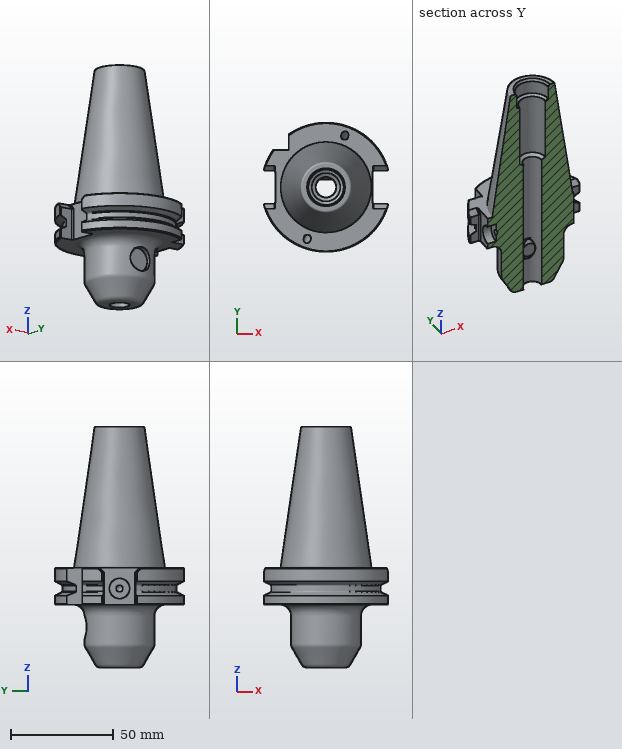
import cadquery as cq
import math

TOTAL_HEIGHT = 118.2
GAUGE_HEIGHT = 50.0
FLANGE_TOP = 49.0
FLANGE_BOTTOM = 30.9
GROOVE_HEIGHT = 38.9

TAPER_RATIO = 7 / 24
GAUGE_RADIUS = 22.2
TOP_RADIUS = GAUGE_RADIUS - (TOTAL_HEIGHT - GAUGE_HEIGHT) * TAPER_RATIO / 2
TOP_ROUND = 1.0
SHANK_FOOT_ROUND = 0.6

FLANGE_RADIUS = 31.7
FLANGE_TOP_BEVEL = 0.4
FLANGE_BOTTOM_BEVEL = 0.6
GROOVE_ROOT_RADIUS = 28.0
GROOVE_MOUTH_HALF = 3.5
GROOVE_FLANK_ANGLE = math.radians(27)
GROOVE_ROOT_ROUND = 0.6

NOSE_RADIUS = 17.3
NECK_ROUND = 5.1
NOSE_TIP_RADIUS = 11.0
NOSE_CONE_ANGLE = math.radians(30)
NOSE_CONE_HEIGHT = (NOSE_RADIUS - NOSE_TIP_RADIUS) / math.tan(NOSE_CONE_ANGLE)
NOSE_ROUND = 3.3

COUNTERSINK_RADIUS = 9.3
COUNTERSINK_DEPTH = 1.4
PILOT_RADIUS = 8.6
PILOT_DEPTH = 8.4
PILOT_CONE = 0.8
THREAD_RADIUS = 7.0
THREAD_DEPTH = 42.6
TOOL_BORE_RADIUS = 5.0
TOOL_BORE_CONE = 1.2

SLOT_HALF_WIDTH = 8.0
SLOT_FLOOR_LEFT = 24.8
SLOT_FLOOR_RIGHT = 22.8
SLOT_TOP_FLARE = 2.6
SLOT_FLOOR_BEVEL = 0.6
SLOT_MOUTH_BEVEL = 0.7

NOTCH_X = 18.3
NOTCH_Y = 18.3

CHIP_RADIUS = 5.0
CHIP_DEPTH = 4.6
DIMPLE_RADIUS = 1.7
DIMPLE_DEPTH = 1.0

COOLANT_RADIUS = 1.8
COOLANT_CIRCLE = 27.0
COOLANT_ANGLE = 70
COOLANT_TILT = 33
COOLANT_DEPTH = 17.7

SCREW_HEIGHT = 20.0
SCREW_RADIUS = 6.0
SCREW_TIP_RADIUS = 3.7
SCREW_TIP_Y = 3.8
SCREW_TIP_CONE = 1.4
SCREW_END_Y = 14.2

CUT_MARGIN = 5.9


def arc_point(center_r, center_z, radius, angle):
    return (center_r + radius * math.cos(angle), center_z + radius * math.sin(angle))


def revolve_about_z(profile):
    return profile.close().revolve(360, (0, 0, 0), (0, 1, 0))


def nose_profile_points():
    """Ends and middles of the rounds at the foot and the shoulder of the nose cone."""
    tip_tangent = NOSE_ROUND * math.tan((math.pi / 2 - NOSE_CONE_ANGLE) / 2)
    tip_center = (NOSE_TIP_RADIUS - tip_tangent, NOSE_ROUND)
    shoulder_tangent = NOSE_ROUND * math.tan(NOSE_CONE_ANGLE / 2)
    shoulder_center = (NOSE_RADIUS - NOSE_ROUND, NOSE_CONE_HEIGHT + shoulder_tangent)
    tip = [arc_point(*tip_center, NOSE_ROUND, a)
           for a in (-math.pi / 2, -(math.pi / 2 + NOSE_CONE_ANGLE) / 2, -NOSE_CONE_ANGLE)]
    shoulder = [arc_point(*shoulder_center, NOSE_ROUND, a)
                for a in (-NOSE_CONE_ANGLE, -NOSE_CONE_ANGLE / 2, 0)]
    return tip, shoulder


def groove_root_points():
    """Ends and middles of the lower and upper root rounds of the gripper groove, going upwards."""
    corner_half = GROOVE_MOUTH_HALF - (FLANGE_RADIUS - GROOVE_ROOT_RADIUS) * math.tan(GROOVE_FLANK_ANGLE)
    turn = math.pi / 2 - GROOVE_FLANK_ANGLE
    center_half = corner_half - GROOVE_ROOT_ROUND * math.tan(turn / 2)
    center_r = GROOVE_ROOT_RADIUS + GROOVE_ROOT_ROUND
    lower = [arc_point(center_r, GROOVE_HEIGHT - center_half, GROOVE_ROOT_ROUND, math.pi + a)
             for a in (turn, turn / 2, 0)]
    upper = [arc_point(center_r, GROOVE_HEIGHT + center_half, GROOVE_ROOT_ROUND, math.pi - a)
             for a in (0, turn / 2, turn)]
    return lower, upper


def turned_blank():
    """Nose, flange and shank as one turned shape."""
    tip, shoulder = nose_profile_points()
    lower_root, upper_root = groove_root_points()
    neck_middle = arc_point(NOSE_RADIUS + NECK_ROUND, FLANGE_BOTTOM - NECK_ROUND,
                            NECK_ROUND, math.radians(135))
    foot_center = (GAUGE_RADIUS + SHANK_FOOT_ROUND, FLANGE_TOP + SHANK_FOOT_ROUND)
    foot_middle = arc_point(*foot_center, SHANK_FOOT_ROUND, math.radians(225))
    profile = (
        cq.Workplane("XZ")
        .lineTo(*tip[0])
        .threePointArc(tip[1], tip[2])
        .lineTo(*shoulder[0])
        .threePointArc(shoulder[1], shoulder[2])
        .lineTo(NOSE_RADIUS, FLANGE_BOTTOM - NECK_ROUND)
        .threePointArc(neck_middle, (NOSE_RADIUS + NECK_ROUND, FLANGE_BOTTOM))
        .lineTo(FLANGE_RADIUS - FLANGE_BOTTOM_BEVEL, FLANGE_BOTTOM)
        .lineTo(FLANGE_RADIUS, FLANGE_BOTTOM + FLANGE_BOTTOM_BEVEL)
        .lineTo(FLANGE_RADIUS, GROOVE_HEIGHT - GROOVE_MOUTH_HALF)
        .lineTo(*lower_root[0])
        .threePointArc(lower_root[1], lower_root[2])
        .lineTo(*upper_root[0])
        .threePointArc(upper_root[1], upper_root[2])
        .lineTo(FLANGE_RADIUS, GROOVE_HEIGHT + GROOVE_MOUTH_HALF)
        .lineTo(FLANGE_RADIUS, FLANGE_TOP - FLANGE_TOP_BEVEL)
        .lineTo(FLANGE_RADIUS - FLANGE_TOP_BEVEL, FLANGE_TOP)
        .lineTo(foot_center[0], FLANGE_TOP)
        .threePointArc(foot_middle, (GAUGE_RADIUS, foot_center[1]))
        .lineTo(GAUGE_RADIUS, GAUGE_HEIGHT)
        .lineTo(TOP_RADIUS, TOTAL_HEIGHT)
        .lineTo(0, TOTAL_HEIGHT)
    )
    return revolve_about_z(profile).faces(">Z").edges().fillet(TOP_ROUND)


def axial_bore():
    """Stepped bore through the whole length."""
    pilot_floor = TOTAL_HEIGHT - PILOT_DEPTH
    thread_floor = TOTAL_HEIGHT - THREAD_DEPTH
    profile = (
        cq.Workplane("XZ")
        .lineTo(TOOL_BORE_RADIUS, 0)
        .lineTo(TOOL_BORE_RADIUS, thread_floor - TOOL_BORE_CONE)
        .lineTo(THREAD_RADIUS, thread_floor)
        .lineTo(THREAD_RADIUS, pilot_floor - PILOT_CONE)
        .lineTo(PILOT_RADIUS, pilot_floor)
        .lineTo(PILOT_RADIUS, TOTAL_HEIGHT - COUNTERSINK_DEPTH)
        .lineTo(COUNTERSINK_RADIUS, TOTAL_HEIGHT)
        .lineTo(0, TOTAL_HEIGHT)
    )
    return revolve_about_z(profile)


def drive_slot(floor_x):
    """Cutter for the +X slot: flared at the top, bevelled at its floor and mouth."""
    flare_z = FLANGE_TOP - SLOT_TOP_FLARE
    flare_rise = SLOT_TOP_FLARE + CUT_MARGIN
    flare_half = SLOT_HALF_WIDTH + flare_rise
    mouth_x = FLANGE_RADIUS + CUT_MARGIN
    slot = (
        cq.Workplane("YZ", origin=(floor_x, 0, 0))
        .moveTo(-SLOT_HALF_WIDTH, FLANGE_BOTTOM)
        .lineTo(SLOT_HALF_WIDTH, FLANGE_BOTTOM)
        .lineTo(SLOT_HALF_WIDTH, flare_z)
        .lineTo(flare_half, flare_z + flare_rise)
        .lineTo(-flare_half, flare_z + flare_rise)
        .lineTo(-SLOT_HALF_WIDTH, flare_z)
        .close()
        .extrude(mouth_x - floor_x)
        .faces("<X").edges("not(<Z or >Z)").chamfer(SLOT_FLOOR_BEVEL)
    )
    bevel_x = math.sqrt(FLANGE_RADIUS ** 2 - SLOT_HALF_WIDTH ** 2) - SLOT_MOUTH_BEVEL
    bevel_run = mouth_x - bevel_x
    mouth = (
        cq.Workplane("XY", origin=(0, 0, FLANGE_BOTTOM))
        .moveTo(bevel_x, -SLOT_HALF_WIDTH)
        .lineTo(mouth_x, -SLOT_HALF_WIDTH - bevel_run)
        .lineTo(mouth_x, SLOT_HALF_WIDTH + bevel_run)
        .lineTo(bevel_x, SLOT_HALF_WIDTH)
        .close()
        .extrude(FLANGE_TOP - FLANGE_BOTTOM)
    )
    return slot.union(mouth)


def orientation_notch():
    size = FLANGE_RADIUS
    return (
        cq.Workplane("XY", origin=(-NOTCH_X, NOTCH_Y, FLANGE_BOTTOM))
        .rect(-size, size, centered=False)
        .extrude(FLANGE_TOP - FLANGE_BOTTOM)
    )


def chip_pocket():
    floor_plane = cq.Workplane("YZ", origin=(-SLOT_FLOOR_LEFT, 0, GROOVE_HEIGHT))
    pocket = floor_plane.circle(CHIP_RADIUS).extrude(CHIP_DEPTH)
    dimple = cq.Solid.makeCone(DIMPLE_RADIUS, 0, DIMPLE_DEPTH,
                               cq.Vector(CHIP_DEPTH - SLOT_FLOOR_LEFT, 0, GROOVE_HEIGHT), cq.Vector(1, 0, 0))
    return pocket.union(cq.Workplane(dimple))


def coolant_hole(angle):
    """Blind hole leaning towards the tool axis as it goes down."""
    tilt = math.radians(COOLANT_TILT)
    direction = cq.Vector(-math.sin(tilt), 0, -math.cos(tilt))
    mouth = cq.Vector(COOLANT_CIRCLE, 0, FLANGE_TOP)
    start = mouth - direction * CUT_MARGIN
    hole = cq.Solid.makeCylinder(COOLANT_RADIUS, COOLANT_DEPTH + CUT_MARGIN, start, direction)
    return cq.Workplane(hole).rotate((0, 0, 0), (0, 0, 1), angle)


def screw_shape(end_y):
    """Cylinder along Y with a blunt conical tip, reaching out to end_y."""
    return (
        cq.Workplane("XY", origin=(0, 0, SCREW_HEIGHT))
        .moveTo(0, SCREW_TIP_Y)
        .lineTo(SCREW_TIP_RADIUS, SCREW_TIP_Y)
        .lineTo(SCREW_RADIUS, SCREW_TIP_Y + SCREW_TIP_CONE)
        .lineTo(SCREW_RADIUS, end_y)
        .lineTo(0, end_y)
        .close()
        .revolve(360, (0, 0, 0), (0, 1, 0))
    )


def make_holder():
    left_slot = drive_slot(SLOT_FLOOR_LEFT).rotate((0, 0, 0), (0, 0, 1), 180)
    holder = (
        turned_blank()
        .cut(axial_bore())
        .cut(drive_slot(SLOT_FLOOR_RIGHT))
        .cut(left_slot)
        .cut(orientation_notch())
        .cut(chip_pocket())
        .cut(screw_shape(NOSE_RADIUS + CUT_MARGIN))
    )
    for angle in (COOLANT_ANGLE, COOLANT_ANGLE + 180):
        holder = holder.cut(coolant_hole(angle))
    return holder


def make_clamp_screw():
    return screw_shape(SCREW_END_Y)


holder = make_holder()
clamp_screw = make_clamp_screw()

result = cq.Compound.makeCompound([holder.val(), clamp_screw.val()])